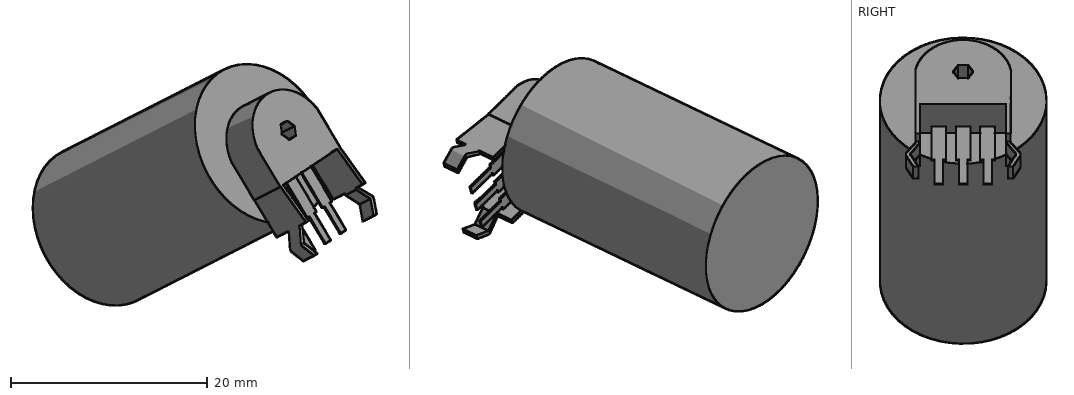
import cadquery as cq

TILT_ANGLE = 40.9

KNOB_DIAMETER = 17.0
KNOB_LENGTH = 28.0

HOUSING_DEPTH = 4.5
HOUSING_WIDTH = 9.75
HOUSING_TOP = 4.3
SHOULDER_HEIGHT = 0.2
HOUSING_BOTTOM = -4.35

SOCKET_CORNER_DIAMETER = 2.03

PLATE_SPAN = 9.65
PLATE_THICKNESS = 0.45
PLATE_BOTTOM = -8.8
PLATE_BOTTOM_DEPTH = 5.07

TAB_START = 1.95
TAB_WIDTH = 1.88
TAB_BEND_DROP = 0.15
TAB_PEAK_DROP = 1.73
TAB_TIP_DROP = 3.4
TAB_PEAK_OUT = 1.1
TAB_TIP_OUT = 0.25
TAB_SLOPED_THICKNESS = 0.53
TAB_CREST_RADIUS = 0.5
TAB_ROOT_RADIUS = 0.35

PIN_COUNT = 3
PIN_PITCH = 2.48
PIN_WIDTH = 0.85
PIN_ROOT_WIDTH = 1.5
PIN_THICKNESS = 0.15
PIN_START = 0.83
PIN_ROOT_BOTTOM = -8.8
PIN_BOTTOM = -12.03

HALF_WIDTH = HOUSING_WIDTH / 2
PLATE_OUTER = PLATE_SPAN / 2


def tilt(body):
    return body.rotate((0, 0, 0), (0, 1, 0), -TILT_ANGLE)


def make_knob():
    return cq.Workplane("YZ").circle(KNOB_DIAMETER / 2).extrude(-KNOB_LENGTH)


def make_housing():
    block = (
        cq.Workplane("YZ")
        .moveTo(-HALF_WIDTH, HOUSING_BOTTOM)
        .lineTo(-HALF_WIDTH, SHOULDER_HEIGHT)
        .threePointArc((0, HOUSING_TOP), (HALF_WIDTH, SHOULDER_HEIGHT))
        .lineTo(HALF_WIDTH, HOUSING_BOTTOM)
        .close()
        .extrude(HOUSING_DEPTH)
    )
    socket = cq.Workplane("YZ").polygon(6, SOCKET_CORNER_DIAMETER).extrude(HOUSING_DEPTH)
    return block.cut(socket)


def make_side_plate():
    """The plate on the +Y side."""
    return (
        cq.Workplane("XZ", origin=(0, PLATE_OUTER, 0))
        .polyline([
            (0, HOUSING_BOTTOM),
            (HOUSING_DEPTH, HOUSING_BOTTOM),
            (PLATE_BOTTOM_DEPTH, PLATE_BOTTOM),
            (0, PLATE_BOTTOM),
        ])
        .close()
        .extrude(PLATE_THICKNESS)
    )


def make_tab():
    """The tab on the +Y side: bends outwards, then back inwards."""
    inner = PLATE_OUTER - PLATE_THICKNESS
    bend = PLATE_BOTTOM - TAB_BEND_DROP
    peak = PLATE_BOTTOM - TAB_PEAK_DROP
    tip = PLATE_BOTTOM - TAB_TIP_DROP
    tab = (
        cq.Workplane("YZ", origin=(TAB_START, 0, 0))
        .polyline([
            (inner, PLATE_BOTTOM),
            (PLATE_OUTER, PLATE_BOTTOM),
            (PLATE_OUTER, bend),
            (PLATE_OUTER + TAB_PEAK_OUT, peak),
            (PLATE_OUTER + TAB_TIP_OUT, tip),
            (PLATE_OUTER + TAB_TIP_OUT - TAB_SLOPED_THICKNESS, tip),
            (PLATE_OUTER + TAB_PEAK_OUT - TAB_SLOPED_THICKNESS, peak),
            (inner, bend),
        ])
        .close()
        .extrude(TAB_WIDTH)
    )
    middle = TAB_START + TAB_WIDTH / 2
    root_edge = cq.selectors.NearestToPointSelector((middle, PLATE_OUTER, bend))
    tab = tab.edges(root_edge).fillet(TAB_ROOT_RADIUS)
    return tab.edges("|X").edges(">Y").fillet(TAB_CREST_RADIUS)


def make_pin(center):
    def strip(width, bottom):
        height = HOUSING_BOTTOM - bottom
        return (
            cq.Workplane("XY")
            .box(PIN_THICKNESS, width, height, centered=(False, True, False))
            .translate((PIN_START, center, bottom))
        )

    return strip(PIN_ROOT_WIDTH, PIN_ROOT_BOTTOM).union(strip(PIN_WIDTH, PIN_BOTTOM))


def make_potentiometer():
    body = make_housing()
    side_part = make_side_plate().union(make_tab())
    body = body.union(side_part).union(side_part.mirror("XZ"))
    for index in range(PIN_COUNT):
        body = body.union(make_pin((index - (PIN_COUNT - 1) / 2) * PIN_PITCH))
    return body


knob = tilt(make_knob())
potentiometer = tilt(make_potentiometer())

result = cq.Compound.makeCompound([knob.val(), potentiometer.val()])